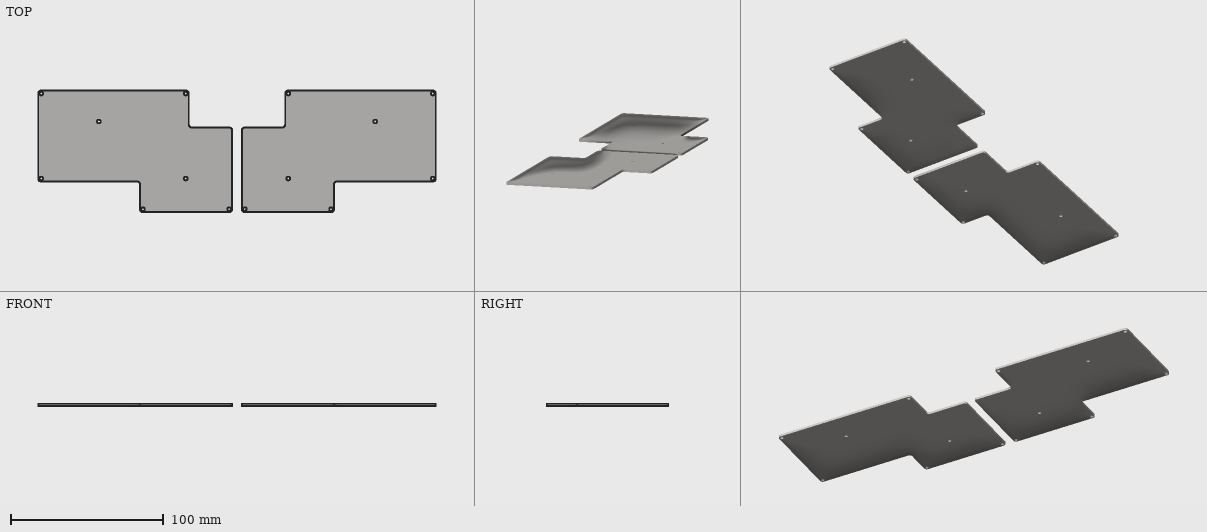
import cadquery as cq

total_width = 260.5
plate_depth = 79.7
thickness = 1.6
gap = 6.3
plate_width = (total_width - gap) / 2

inner_notch_width = 28.5
inner_notch_depth = 24.2
outer_notch_depth = 20.0
lower_lobe_width = 60.5

corner_radius = 2.0
hole_diameter = 2.3
hole_inset = 2.0
middle_hole_from_outer = 39.9
middle_hole_from_back = 20.3

inner_x = gap / 2
outer_x = inner_x + plate_width
back_lobe_x = inner_x + inner_notch_width
front_lobe_x = inner_x + lower_lobe_width
back_y = plate_depth / 2
front_y = -plate_depth / 2
inner_notch_y = back_y - inner_notch_depth
outer_notch_y = front_y + outer_notch_depth


def stepped_blank(side):
    """Plate with rounded corners; side is +1 for the right plate, -1 for its mirror image."""
    corners = [
        (inner_x, front_y),
        (front_lobe_x, front_y),
        (front_lobe_x, outer_notch_y),
        (outer_x, outer_notch_y),
        (outer_x, back_y),
        (back_lobe_x, back_y),
        (back_lobe_x, inner_notch_y),
        (inner_x, inner_notch_y),
    ]
    outline = [(side * x, y) for x, y in corners]
    blank = cq.Workplane("XY").polyline(outline).close().extrude(thickness)
    return blank.edges("|Z").fillet(corner_radius)


def hole_centers(side):
    """Screw holes at the convex corners and two inside the plate."""
    back_row_y = back_y - hole_inset
    middle_row_y = outer_notch_y + hole_inset
    front_row_y = front_y + hole_inset
    inner_column_x = back_lobe_x + hole_inset
    outer_column_x = outer_x - hole_inset
    centers = [
        (inner_column_x, back_row_y),
        (outer_column_x, back_row_y),
        (inner_column_x, middle_row_y),
        (outer_column_x, middle_row_y),
        (inner_x + hole_inset, front_row_y),
        (front_lobe_x - hole_inset, front_row_y),
        (outer_x - middle_hole_from_outer, back_y - middle_hole_from_back),
    ]
    return [(side * x, y) for x, y in centers]


def make_plate(side):
    """One stepped plate drilled right through."""
    holes = (
        cq.Workplane("XY")
        .pushPoints(hole_centers(side))
        .circle(hole_diameter / 2)
        .extrude(thickness)
    )
    return stepped_blank(side).cut(holes)


plates = [make_plate(side) for side in (-1, 1)]

result = cq.Compound.makeCompound([plate.val() for plate in plates])